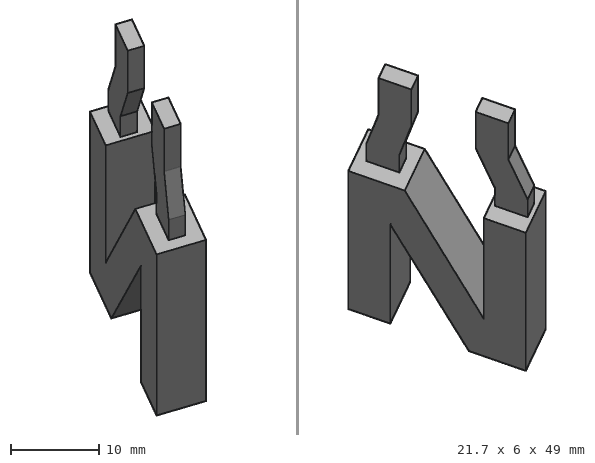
import cadquery as cq

total_height = 49.0
body_width = 21.7
body_depth = 6.0
body_height = 30.05

left_leg_width = 5.15
right_leg_width = 5.15
diagonal_foot_x = 6.95
diagonal_head_x = 14.8
left_notch_z = 8.2
right_notch_z = 21.55

prong_width = 4.0
prong_thickness = 2.0
prong_base_height = 3.85
prong_tip_length = 7.9
left_prong_x = 0.6
left_prong_shift = 2.35
right_prong_x = 16.25
right_prong_shift = -1.45


def extrude_outline(points, thickness):
    """Extrude an XZ outline by equal amounts to both sides of the Y = 0 plane."""
    return cq.Workplane("XZ").polyline(points).close().extrude(thickness / 2, both=True)


def make_body():
    """Two upright legs joined by a rising diagonal bar."""
    right_leg_x = body_width - right_leg_width
    outline = [
        (0, 0),
        (diagonal_foot_x, 0),
        (right_leg_x, right_notch_z),
        (right_leg_x, 0),
        (body_width, 0),
        (body_width, body_height),
        (diagonal_head_x, body_height),
        (left_leg_width, left_notch_z),
        (left_leg_width, body_height),
        (0, body_height),
    ]
    return extrude_outline(outline, body_depth)


def make_prong(base_x, tip_shift):
    """Flat prong resting on the body, with its tip moved sideways by tip_shift."""
    bend_start_z = body_height + prong_base_height
    bend_end_z = total_height - prong_tip_length
    left_edge = [
        (base_x, body_height),
        (base_x, bend_start_z),
        (base_x + tip_shift, bend_end_z),
        (base_x + tip_shift, total_height),
    ]
    right_edge = [(x + prong_width, z) for x, z in reversed(left_edge)]
    return extrude_outline(left_edge + right_edge, prong_thickness)


body = make_body()
prong_places = [
    (left_prong_x, left_prong_shift),
    (right_prong_x, right_prong_shift),
]
prongs = [make_prong(base_x, tip_shift) for base_x, tip_shift in prong_places]

result = cq.Compound.makeCompound([body.val(), *[prong.val() for prong in prongs]])